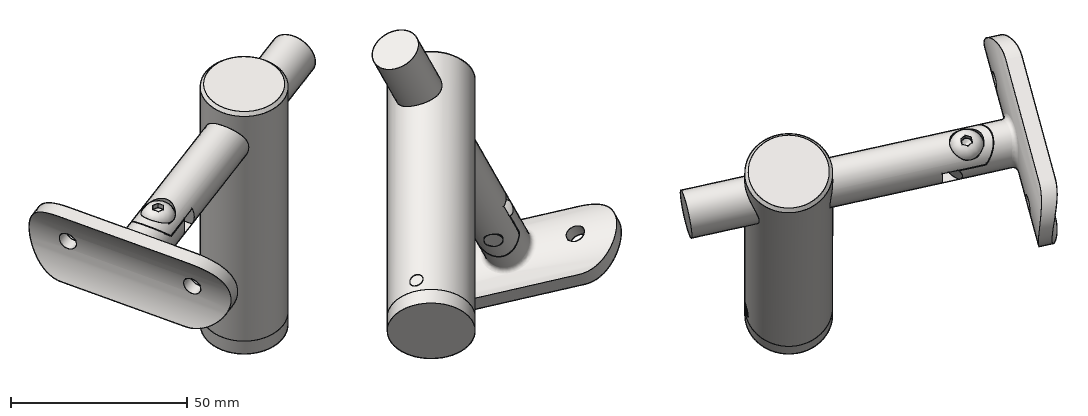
import cadquery as cq
import math

post_radius = 12.5
total_height = 93.0
base_height = 5.0
post_top_chamfer = 1.0

rod_radius = 7.0
rod_height = 80.0
rod_rear_y = 30.0

pivot_y = -52.0
slot_width = 6.0
slot_end_y = pivot_y + 8.7
tongue_thickness = 5.5
tongue_reach = 7.0
tongue_tip_radius = 8.0
fork_tip_y = -59.5
fork_bevel_angle = 40.0
fork_gap = 0.2

plate_length = 65.0
plate_width = 25.0
plate_thickness = 4.0
handrail_radius = 21.2
saddle_inner_y = -69.0
handrail_y = saddle_inner_y - handrail_radius
plate_outer_radius = handrail_radius + plate_thickness
mounting_hole_diameter = 5.5
mounting_hole_spacing = plate_length - plate_width
neck_fillet = 1.5

head_radius = 4.9
head_height = 2.75
head_flat_radius = 1.9
head_dome_bulge = 0.65
head_seat_z = rod_height + 5.0
shank_radius = 2.75
shank_length = 12.0
hex_across_flats = 3.0
hex_depth = 1.6
socket_point_depth = 0.8

set_screw_radius = 2.0
set_screw_length = 6.0
set_screw_z = base_height + 4.0
set_screw_face_y = math.sqrt(post_radius**2 - set_screw_radius**2)

through = 4 * post_radius


def rod_bar(front_y, rear_y):
    """Round bar along Y at rod height."""
    start = cq.Workplane("XZ", origin=(0, rear_y, rod_height))
    return start.circle(rod_radius).extrude(rear_y - front_y)


def set_screw_bar(length):
    """Round bar along Y that starts at the set screw's inner end and runs outward."""
    inner_y = set_screw_face_y - set_screw_length
    start = cq.Workplane("XZ", origin=(0, inner_y, set_screw_z))
    return start.circle(set_screw_radius).extrude(-length)


def knuckle_profile(half_gap, tip_y, inner_end_y):
    """Block that fills the rod's slot, its bevelled mouth and everything in front of the fork tips."""
    mouth_rise = rod_radius - half_gap
    mouth_y = tip_y + mouth_rise * math.tan(math.radians(fork_bevel_angle))
    points = [
        (inner_end_y, -half_gap),
        (mouth_y, -half_gap),
        (tip_y, -rod_radius),
        (saddle_inner_y, -rod_radius),
        (saddle_inner_y, rod_radius),
        (tip_y, rod_radius),
        (mouth_y, half_gap),
        (inner_end_y, half_gap),
    ]
    start = cq.Workplane("YZ", origin=(0, 0, rod_height))
    return start.polyline(points).close().extrude(rod_radius, both=True)


def pivot_bore():
    """Straight hole for the screw shank."""
    start = cq.Workplane("XY", origin=(0, pivot_y, rod_height))
    return start.circle(shank_radius).extrude(2 * rod_radius, both=True)


def make_base():
    return cq.Workplane("XY").circle(post_radius).extrude(base_height)


def make_post():
    start = cq.Workplane("XY", origin=(0, 0, base_height))
    post = start.circle(post_radius).extrude(total_height - base_height)
    post = post.faces(">Z").chamfer(post_top_chamfer)
    post = post.cut(rod_bar(-through, through))
    return post.cut(set_screw_bar(through))


def make_set_screw():
    return set_screw_bar(set_screw_length)


def make_rod():
    rod = rod_bar(saddle_inner_y, rod_rear_y)
    rod = rod.cut(knuckle_profile(slot_width / 2, fork_tip_y, slot_end_y))
    seat = cq.Workplane("XY", origin=(0, pivot_y, head_seat_z))
    counterbore = seat.circle(head_radius).extrude(through)
    return rod.cut(counterbore).cut(pivot_bore())


def make_plate():
    """Stadium-shaped plate curved about the handrail axis."""
    outline = cq.Workplane("XZ", origin=(0, 0, rod_height))
    plate = outline.slot2D(plate_length, plate_width).extrude(-handrail_y)
    handrail = cq.Workplane("YZ", origin=(0, handrail_y, rod_height))
    shell = handrail.circle(plate_outer_radius).circle(handrail_radius)
    return plate.intersect(shell.extrude(plate_length, both=True))


def make_saddle():
    stub_front_y = saddle_inner_y + plate_thickness / 2
    stub = rod_bar(stub_front_y, 0)
    stub = stub.intersect(knuckle_profile(tongue_thickness / 2, fork_tip_y - fork_gap, 0))

    tip_center_y = pivot_y + tongue_reach - tongue_tip_radius
    tip_block = rod_bar(tip_center_y, 0)
    tip_round = cq.Workplane("XY", origin=(0, tip_center_y, rod_height))
    tip_round = tip_round.circle(tongue_tip_radius).extrude(rod_radius, both=True)
    stub = stub.cut(tip_block.cut(tip_round))

    saddle = make_plate().union(stub)
    reach = rod_radius + neck_fillet
    neck_edge = cq.selectors.BoxSelector(
        (-reach, saddle_inner_y, rod_height - reach),
        (reach, saddle_inner_y + plate_thickness + neck_fillet, rod_height + reach),
        boundingbox=True,
    )
    saddle = saddle.edges(neck_edge).fillet(neck_fillet)

    holes = cq.Workplane("XZ", origin=(0, 0, rod_height))
    holes = holes.rarray(mounting_hole_spacing, 1, 2, 1).circle(mounting_hole_diameter / 2)
    return saddle.cut(holes.extrude(-handrail_y)).cut(pivot_bore())


def make_pivot_screw():
    """Button head screw with a hexagon socket."""
    dome_run = head_radius - head_flat_radius
    dome_chord = math.hypot(dome_run, head_height)
    dome_mid = (
        (head_radius + head_flat_radius) / 2 + head_dome_bulge * head_height / dome_chord,
        head_height / 2 + head_dome_bulge * dome_run / dome_chord,
    )
    profile = (
        cq.Workplane("XZ", origin=(0, pivot_y, head_seat_z))
        .moveTo(0, -shank_length)
        .lineTo(shank_radius, -shank_length)
        .lineTo(shank_radius, 0)
        .lineTo(head_radius, 0)
        .threePointArc(dome_mid, (head_flat_radius, head_height))
        .lineTo(0, head_height)
        .close()
    )
    screw = profile.revolve(360, (0, 0, 0), (0, 1, 0))
    hex_circle = hex_across_flats / math.cos(math.pi / 6)
    socket_z = head_seat_z + head_height
    socket = cq.Workplane("XY", origin=(0, pivot_y, socket_z)).polygon(6, hex_circle).extrude(-hex_depth)
    point = cq.Solid.makeCone(
        hex_across_flats / 2,
        0,
        socket_point_depth,
        pnt=cq.Vector(0, pivot_y, socket_z - hex_depth),
        dir=cq.Vector(0, 0, -1),
    )
    return screw.cut(socket).cut(cq.Workplane(point))


base = make_base()
post = make_post()
set_screw = make_set_screw()
rod = make_rod()
saddle = make_saddle()
pivot_screw = make_pivot_screw()

result = cq.Compound.makeCompound(
    [base.val(), post.val(), set_screw.val(), rod.val(), saddle.val(), pivot_screw.val()]
)